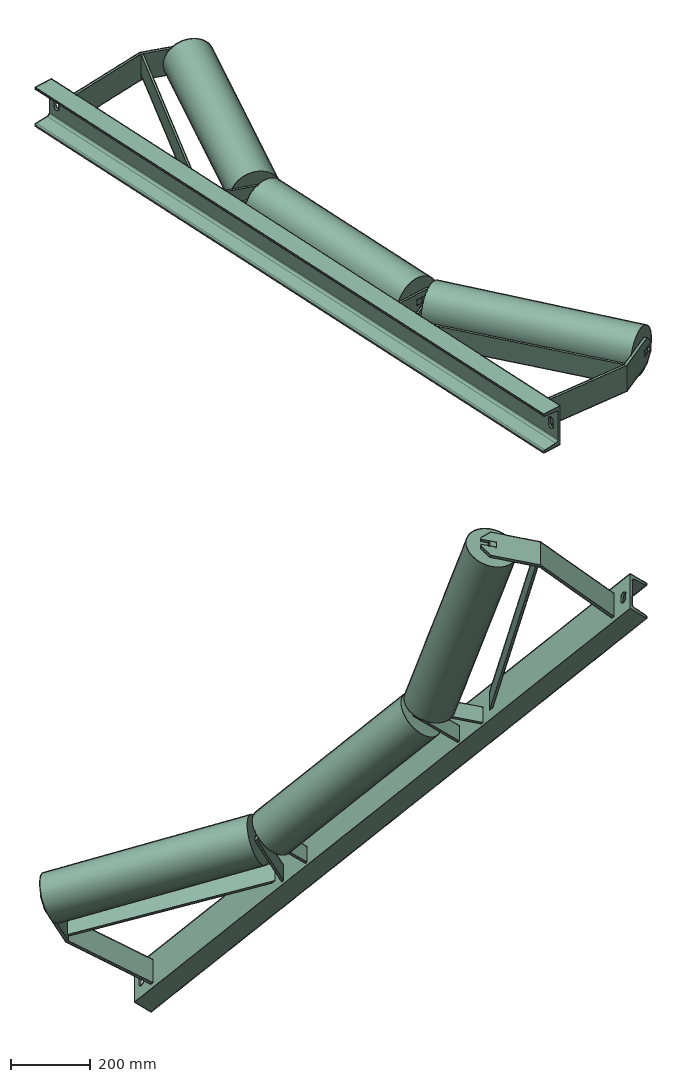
import cadquery as cq
import math


BEAM_LENGTH = 1900.0
BEAM_HEIGHT = 120.0
BEAM_DEPTH = 55.0
WEB_THICKNESS = 7.0
FLANGE_TIP_THICKNESS = 8.0
FLANGE_ROOT_THICKNESS = 11.0
BEAM_ROOT_RADIUS = 8.0
BEAM_TIP_RADIUS = 4.0
MOUNT_SLOT_FROM_END = 27.0
MOUNT_SLOT_WIDTH = 17.0
MOUNT_SLOT_HEIGHT = 35.0
MOUNT_SLOT_Z = -2.8

ROLLER_LENGTH = 570.0
ROLLER_RADIUS = 66.0
SHAFT_SIZE = 17.0
CENTER_ROLLER_Y = 118.0
CENTER_ROLLER_Z = -23.0
SIDE_ROLLER_INNER_X = 329.0
SIDE_ROLLER_INNER_Y = 127.0
TROUGH_ANGLE = math.radians(25)
TILT_ANGLE = math.radians(2)

INNER_STRIP_THICKNESS = 6.0
INNER_BRACKET_TOP_Y = 148.0
INNER_BRACKET_HEIGHT = 53.0
CENTER_ROLLER_GAP = 4.0
SIDE_ROLLER_INNER_GAP = 2.8

STRIP_HEIGHT = 80.0
STRIP_Z = -2.8
OUTER_STRIP_THICKNESS = 8.0
SIDE_ROLLER_OUTER_GAP = 5.0
OUTER_BASE_X = 887.0
KNEE_Y = 262.0
PLATE_LENGTH = 154.0
PLATE_TIP_CHAMFER = 25.0
BRACE_THICKNESS = 6.0
BRACE_HEIGHT = 63.0
BRACE_BASE_X = 424.0

COS_TROUGH = math.cos(TROUGH_ANGLE)
SIN_TROUGH = math.sin(TROUGH_ANGLE)
TAN_TROUGH = math.tan(TROUGH_ANGLE)
SIDE_AXIS = cq.Vector(
    -COS_TROUGH * math.cos(TILT_ANGLE),
    SIN_TROUGH * math.cos(TILT_ANGLE),
    math.sin(TILT_ANGLE),
)
OUTWARD = cq.Vector(-COS_TROUGH, SIN_TROUGH, 0)
ACROSS = cq.Vector(SIN_TROUGH, COS_TROUGH, 0)
SIDE_INNER_CENTER = cq.Vector(-SIDE_ROLLER_INNER_X, SIDE_ROLLER_INNER_Y, CENTER_ROLLER_Z)
SIDE_OUTER_CENTER = SIDE_INNER_CENTER + SIDE_AXIS * ROLLER_LENGTH
SIDE_PLANE = cq.Plane(origin=SIDE_INNER_CENTER, xDir=ACROSS, normal=SIDE_AXIS)
CENTER_PLANE = cq.Plane(
    origin=(ROLLER_LENGTH / 2, CENTER_ROLLER_Y, CENTER_ROLLER_Z), xDir=(0, 1, 0), normal=(-1, 0, 0)
)

SLOT_REACH = PLATE_LENGTH
INNER_SHAFT_REACH = SIDE_ROLLER_INNER_GAP + INNER_STRIP_THICKNESS
OUTER_SHAFT_REACH = SIDE_ROLLER_OUTER_GAP + OUTER_STRIP_THICKNESS
CENTER_SHAFT_REACH = CENTER_ROLLER_GAP + INNER_STRIP_THICKNESS


def make_beam():
    """Channel with tapered flanges and an upright mounting slot near each end of its web."""
    half_height = BEAM_HEIGHT / 2
    tip_z = half_height - FLANGE_TIP_THICKNESS
    root_z = half_height - FLANGE_ROOT_THICKNESS
    profile = [
        (0, -half_height),
        (0, half_height),
        (-BEAM_DEPTH, half_height),
        (-BEAM_DEPTH, tip_z),
        (-WEB_THICKNESS, root_z),
        (-WEB_THICKNESS, -root_z),
        (-BEAM_DEPTH, -tip_z),
        (-BEAM_DEPTH, -half_height),
    ]
    beam = cq.Workplane("YZ").polyline(profile).close().extrude(BEAM_LENGTH / 2, both=True)

    def edges_at(y, z):
        margin = 0.2
        return cq.selectors.BoxSelector((-19, y - margin, z - margin), (19, y + margin, z + margin))

    for side in (-1, 1):
        beam = beam.edges(edges_at(-WEB_THICKNESS, side * root_z)).fillet(BEAM_ROOT_RADIUS)
        beam = beam.edges(edges_at(-BEAM_DEPTH, side * tip_z)).fillet(BEAM_TIP_RADIUS)

    slot_x = BEAM_LENGTH / 2 - MOUNT_SLOT_FROM_END
    slots = (
        cq.Workplane("XZ")
        .pushPoints([(-slot_x, MOUNT_SLOT_Z), (slot_x, MOUNT_SLOT_Z)])
        .slot2D(MOUNT_SLOT_HEIGHT, MOUNT_SLOT_WIDTH, 90)
        .extrude(BEAM_DEPTH)
    )
    return beam.cut(slots)


def make_roller(plane, reach_before, reach_after):
    """Roller whose first end face lies on the plane, with square shaft ends past both faces."""
    shell = cq.Workplane(plane).circle(ROLLER_RADIUS).extrude(ROLLER_LENGTH)
    shaft = (
        cq.Workplane(plane)
        .workplane(offset=-reach_before)
        .rect(SHAFT_SIZE, SHAFT_SIZE)
        .extrude(reach_before + ROLLER_LENGTH + reach_after)
    )
    return shell.union(shaft)


def make_shaft_slot(plane, start, end):
    """Cutter as wide as the shaft, open away from the beam, from start to end along the axis."""
    return (
        cq.Workplane(plane)
        .workplane(offset=start)
        .center((SLOT_REACH - SHAFT_SIZE) / 2, 0)
        .rect(SLOT_REACH, SHAFT_SIZE)
        .extrude(end - start)
    )


def make_inner_bracket():
    """Folded strip with an upright leg at the center roller and a slanted leg at the side roller."""
    upright_x = -(ROLLER_LENGTH / 2 + CENTER_ROLLER_GAP)
    slant = SIDE_INNER_CENTER - OUTWARD * SIDE_ROLLER_INNER_GAP
    inside_top_y = INNER_BRACKET_TOP_Y - INNER_STRIP_THICKNESS
    inside_shift = INNER_STRIP_THICKNESS / COS_TROUGH

    def slant_x(y):
        return slant.x + (y - slant.y) * TAN_TROUGH

    profile = [
        (upright_x, 0),
        (upright_x, INNER_BRACKET_TOP_Y),
        (slant_x(INNER_BRACKET_TOP_Y), INNER_BRACKET_TOP_Y),
        (slant_x(0), 0),
        (slant_x(0) + inside_shift, 0),
        (slant_x(inside_top_y) + inside_shift, inside_top_y),
        (upright_x - INNER_STRIP_THICKNESS, inside_top_y),
        (upright_x - INNER_STRIP_THICKNESS, 0),
    ]
    bracket = (
        cq.Workplane("XY")
        .workplane(offset=CENTER_ROLLER_Z)
        .polyline(profile)
        .close()
        .extrude(INNER_BRACKET_HEIGHT / 2, both=True)
    )
    side_slot = make_shaft_slot(SIDE_PLANE, -INNER_SHAFT_REACH, 0)
    center_slot = make_shaft_slot(CENTER_PLANE, ROLLER_LENGTH, ROLLER_LENGTH + CENTER_SHAFT_REACH)
    return bracket.cut(side_slot).cut(center_slot)


STRIP_TOP_Z = STRIP_Z + STRIP_HEIGHT / 2
PLATE_FACE = SIDE_OUTER_CENTER + OUTWARD * OUTER_SHAFT_REACH
KNEE = cq.Vector(PLATE_FACE.x + (KNEE_Y - PLATE_FACE.y) * TAN_TROUGH, KNEE_Y, STRIP_Z)
KNEE_INSIDE = KNEE - OUTWARD * OUTER_STRIP_THICKNESS
LEG_INSIDE_BASE_X = -OUTER_BASE_X + OUTER_STRIP_THICKNESS


def make_strip(profile, height):
    """Upright strip whose top edge is level with the top of the outer bracket."""
    return (
        cq.Workplane("XY")
        .workplane(offset=STRIP_TOP_Z)
        .polyline(profile)
        .close()
        .extrude(-height)
    )


def make_outer_bracket():
    """Leg from the beam to the knee, then a plate with a chamfered, slotted tip."""
    leg_profile = [
        (-OUTER_BASE_X, 0),
        (KNEE.x, KNEE.y),
        (KNEE_INSIDE.x, KNEE_INSIDE.y),
        (LEG_INSIDE_BASE_X, 0),
    ]
    leg = make_strip(leg_profile, STRIP_HEIGHT)
    plate_plane = cq.Plane(origin=KNEE, xDir=ACROSS, normal=-OUTWARD)
    plate = (
        cq.Workplane(plate_plane)
        .center(PLATE_LENGTH / 2, 0)
        .rect(PLATE_LENGTH, STRIP_HEIGHT)
        .extrude(OUTER_STRIP_THICKNESS)
        .faces(cq.selectors.DirectionMinMaxSelector(ACROSS, True))
        .edges("not |Z")
        .chamfer(PLATE_TIP_CHAMFER)
    )
    slot = make_shaft_slot(SIDE_PLANE, ROLLER_LENGTH, ROLLER_LENGTH + 2 * OUTER_SHAFT_REACH)
    return leg.union(plate).cut(slot)


def make_brace():
    """Flat strip from the outer bracket's plate, just above its knee, down to the beam."""
    run = -BRACE_BASE_X - KNEE_INSIDE.x
    fall = KNEE_INSIDE.y / run
    rise = BRACE_THICKNESS * math.hypot(1, fall)
    plate_rise = rise / (1 + fall * TAN_TROUGH)
    profile = [
        (KNEE_INSIDE.x, KNEE_INSIDE.y),
        (KNEE_INSIDE.x + plate_rise * TAN_TROUGH, KNEE_INSIDE.y + plate_rise),
        (-BRACE_BASE_X + rise / fall, 0),
        (-BRACE_BASE_X, 0),
    ]
    return make_strip(profile, BRACE_HEIGHT)


def both_sides(body):
    """The body and its mirror copy across the middle of the frame, as two solids."""
    return [*body.solids().vals(), *body.mirror("YZ").solids().vals()]


beam = make_beam()
center_roller = make_roller(CENTER_PLANE, CENTER_SHAFT_REACH, CENTER_SHAFT_REACH)
side_rollers = both_sides(make_roller(SIDE_PLANE, INNER_SHAFT_REACH, OUTER_SHAFT_REACH))
inner_brackets = both_sides(make_inner_bracket())
outer_brackets = both_sides(make_outer_bracket())
braces = both_sides(make_brace())

result = cq.Compound.makeCompound(
    [
        *beam.solids().vals(),
        *center_roller.solids().vals(),
        *side_rollers,
        *inner_brackets,
        *outer_brackets,
        *braces,
    ]
)